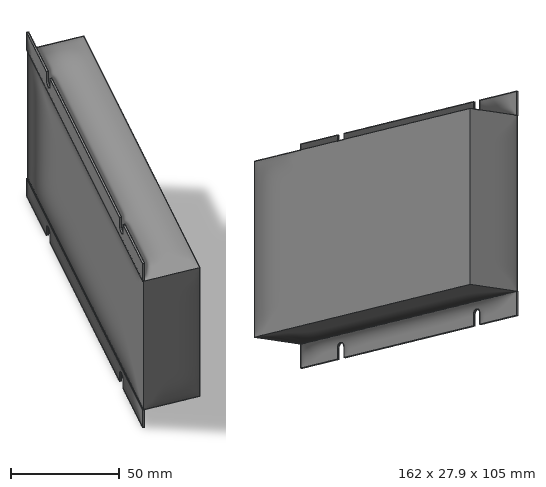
import cadquery as cq

length = 162.0
depth = 27.9
height = 105.0

box_height = 82.5
flange_thickness = 1.0
box_recess = 0.5

slot_width = 4.9
slot_depth = 7.5
slot_spacing = 102.0

flange_height = (height - box_height) / 2
front_y = -depth / 2
slot_radius = slot_width / 2


def make_box():
    box_depth = depth - box_recess
    return cq.Workplane("XY").box(length, box_depth, box_height).translate((0, box_recess / 2, 0))


def make_slot(x, side):
    """Cutter for a round-ended slot entering from the top (side=1) or bottom (side=-1) edge."""
    edge_z = side * height / 2
    arc_z = edge_z - side * (slot_depth - slot_radius)
    tip_z = edge_z - side * slot_depth
    return (
        cq.Workplane("XZ", origin=(x, front_y, 0))
        .moveTo(-slot_radius, edge_z)
        .lineTo(-slot_radius, arc_z)
        .threePointArc((0, tip_z), (slot_radius, arc_z))
        .lineTo(slot_radius, edge_z)
        .close()
        .extrude(-flange_thickness)
    )


def make_flange(side):
    """Thin strip above (side=1) or below (side=-1) the box, with two slots."""
    center_y = front_y + flange_thickness / 2
    center_z = side * (box_height + flange_height) / 2
    flange = cq.Workplane("XY").box(length, flange_thickness, flange_height)
    flange = flange.translate((0, center_y, center_z))
    for x in (-slot_spacing / 2, slot_spacing / 2):
        flange = flange.cut(make_slot(x, side))
    return flange


result = make_box().union(make_flange(1)).union(make_flange(-1))